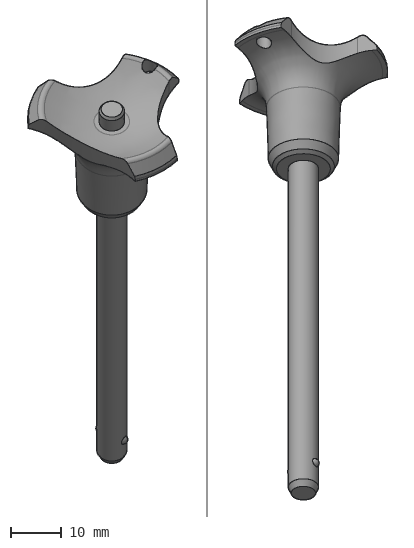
import cadquery as cq
import math

overall_length = 103.7
edge_break_z = -2.5
rim_top_z = -3.2
rim_bottom_z = -3.8
flare_bottom_z = -12.1
collar_bottom_z = -24.2
chamfer_bottom_z = -26.0
handle_bottom_z = -26.6

rim_radius = 16.6
edge_break_radius = 16.4
dish_radius = 13.3
crest_fillet_radius = 1.0
dish_sphere_radius = 23.2
collar_top_radius = 7.3
collar_bottom_radius = 6.95
chamfer_radius = 6.1
handle_bottom_radius = 5.3
flare_radius = rim_bottom_z - flare_bottom_z

arm_half_width = 5.55
side_scallop_radius = 13.3
side_scallop_y = 12.0
side_arm_angle = 26.0
front_scallop_mid_y = -9.06
arm_corner_x = 12.7
arm_corner_y = -10.8
outline_overrun = 5.0

lanyard_hole_diameter = 3.0
lanyard_hole_y = 13.6

button_radius = 2.5
button_top_z = -0.4
button_chamfer_height = 0.6
button_chamfer_width = 0.4
button_seat_radius = 3.5

shank_radius = 3.0
shank_tip_radius = 2.4
shank_tip_height = 1.4
ball_radius = 0.95
ball_reach = 3.6
ball_height = 6.1


def dish_z(radius):
    """Height of the spherical dish at a given radius."""
    dish_slope = math.asin(dish_radius / dish_sphere_radius)
    dish_edge_z = -crest_fillet_radius * (1 - math.cos(dish_slope))
    centre_z = dish_edge_z + dish_sphere_radius * math.cos(dish_slope)
    return centre_z - math.sqrt(dish_sphere_radius**2 - radius**2)


def crest_end_point(crest_radius):
    """Point where the tip face leaves the crest fillet tangentially."""
    run = edge_break_radius - crest_radius
    drop = edge_break_z + crest_fillet_radius
    centre_distance = math.hypot(run, drop)
    angle = math.atan2(drop, run) + math.acos(crest_fillet_radius / centre_distance)
    return (
        crest_radius + crest_fillet_radius * math.cos(angle),
        crest_fillet_radius * (math.sin(angle) - 1),
    )


def make_turned_handle():
    """Full round handle before the arms are cut out."""
    seat_z = dish_z(button_seat_radius)
    dish_mid_radius = (dish_radius + button_seat_radius) / 2
    crest_radius = dish_radius * (1 + crest_fillet_radius / dish_sphere_radius)
    crest_end = crest_end_point(crest_radius)
    flare_top_radius = collar_top_radius + flare_radius
    flare_mid = (
        flare_top_radius - flare_radius * math.sqrt(0.5),
        flare_bottom_z + flare_radius * math.sqrt(0.5),
    )
    return (
        cq.Workplane("XZ")
        .moveTo(0, seat_z)
        .lineTo(button_seat_radius, seat_z)
        .threePointArc((dish_mid_radius, dish_z(dish_mid_radius)), (dish_radius, dish_z(dish_radius)))
        .threePointArc((crest_radius, 0), crest_end)
        .lineTo(edge_break_radius, edge_break_z)
        .lineTo(rim_radius, rim_top_z)
        .lineTo(rim_radius, rim_bottom_z)
        .lineTo(flare_top_radius, rim_bottom_z)
        .threePointArc(flare_mid, (collar_top_radius, flare_bottom_z))
        .lineTo(collar_bottom_radius, collar_bottom_z)
        .lineTo(chamfer_radius, chamfer_bottom_z)
        .lineTo(handle_bottom_radius, handle_bottom_z)
        .lineTo(0, handle_bottom_z)
        .close()
        .revolve(360, (0, 0, 0), (0, 1, 0))
    )


def make_arm_prism():
    """Upright prism whose outline has two side scallops and a shallow front scallop."""
    scallop_x = arm_half_width + side_scallop_radius
    slope = math.radians(side_arm_angle)

    def scallop_point(angle):
        return (
            scallop_x - side_scallop_radius * math.cos(angle),
            side_scallop_y - side_scallop_radius * math.sin(angle),
        )

    def mirrored(point):
        return (-point[0], point[1])

    sweep = math.pi / 2 - slope
    scallop_mid = scallop_point(sweep / 2)
    scallop_end = scallop_point(sweep)
    outer_x = rim_radius + outline_overrun
    arm_side_end = (outer_x, scallop_end[1] - (outer_x - scallop_end[0]) * math.tan(slope))
    front_corner = (arm_corner_x, arm_corner_y)
    outer_corner = (outer_x, arm_corner_y)
    arm_end_y = rim_radius + outline_overrun

    return (
        cq.Workplane("XY", origin=(0, 0, handle_bottom_z))
        .moveTo(-arm_half_width, arm_end_y)
        .lineTo(arm_half_width, arm_end_y)
        .lineTo(arm_half_width, side_scallop_y)
        .threePointArc(scallop_mid, scallop_end)
        .lineTo(*arm_side_end)
        .lineTo(*outer_corner)
        .lineTo(*front_corner)
        .threePointArc((0, front_scallop_mid_y), mirrored(front_corner))
        .lineTo(*mirrored(outer_corner))
        .lineTo(*mirrored(arm_side_end))
        .lineTo(*mirrored(scallop_end))
        .threePointArc(mirrored(scallop_mid), (-arm_half_width, side_scallop_y))
        .close()
        .extrude(-handle_bottom_z)
    )


def make_lanyard_hole():
    return (
        cq.Workplane("XY", origin=(0, lanyard_hole_y, handle_bottom_z))
        .circle(lanyard_hole_diameter / 2)
        .extrude(-handle_bottom_z)
    )


def make_button():
    return (
        cq.Workplane("XY", origin=(0, 0, handle_bottom_z))
        .circle(button_radius)
        .extrude(button_top_z - handle_bottom_z)
        .faces(">Z")
        .chamfer(button_chamfer_height, button_chamfer_width)
    )


def make_shank():
    return (
        cq.Workplane("XZ")
        .moveTo(0, handle_bottom_z)
        .lineTo(shank_radius, handle_bottom_z)
        .lineTo(shank_radius, shank_tip_height - overall_length)
        .lineTo(shank_tip_radius, -overall_length)
        .lineTo(0, -overall_length)
        .close()
        .revolve(360, (0, 0, 0), (0, 1, 0))
    )


def make_ball(side):
    """Locking ball on the +X (side = 1) or -X (side = -1) flank of the shank."""
    centre = (side * (ball_reach - ball_radius), 0, ball_height - overall_length)
    return cq.Workplane("XY", origin=centre).sphere(ball_radius)


handle = make_turned_handle().intersect(make_arm_prism()).cut(make_lanyard_hole())
result = handle.union(make_button()).union(make_shank())
for side in (-1, 1):
    result = result.union(make_ball(side))